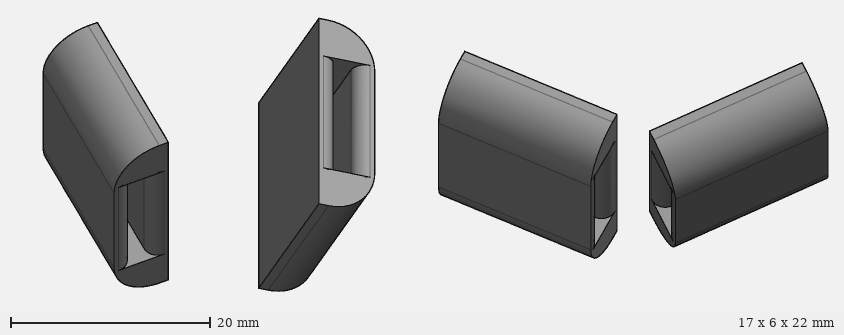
import cadquery as cq

width = 17.0
depth = 6.0
height = 22.0
edge_radius = 5.0

slot_height = 13.27
throat_depth = 2.0
mouth_radius = 1.5


def make_body():
    block = cq.Workplane("XY").box(width, depth, height)
    return block.faces("<Y").edges("|X").fillet(edge_radius)


def make_slot():
    """Slot whose front and back walls curve outward by a quarter circle at each end."""
    half_width = width / 2
    half_throat = throat_depth / 2
    half_mouth = half_throat + mouth_radius
    flare_start = half_width - mouth_radius
    return (
        cq.Workplane("XY")
        .workplane(offset=-slot_height / 2)
        .moveTo(-flare_start, half_throat)
        .lineTo(flare_start, half_throat)
        .radiusArc((half_width, half_mouth), -mouth_radius)
        .lineTo(half_width, -half_mouth)
        .radiusArc((flare_start, -half_throat), -mouth_radius)
        .lineTo(-flare_start, -half_throat)
        .radiusArc((-half_width, -half_mouth), -mouth_radius)
        .lineTo(-half_width, half_mouth)
        .radiusArc((-flare_start, half_throat), -mouth_radius)
        .close()
        .extrude(slot_height)
    )


result = make_body().cut(make_slot())